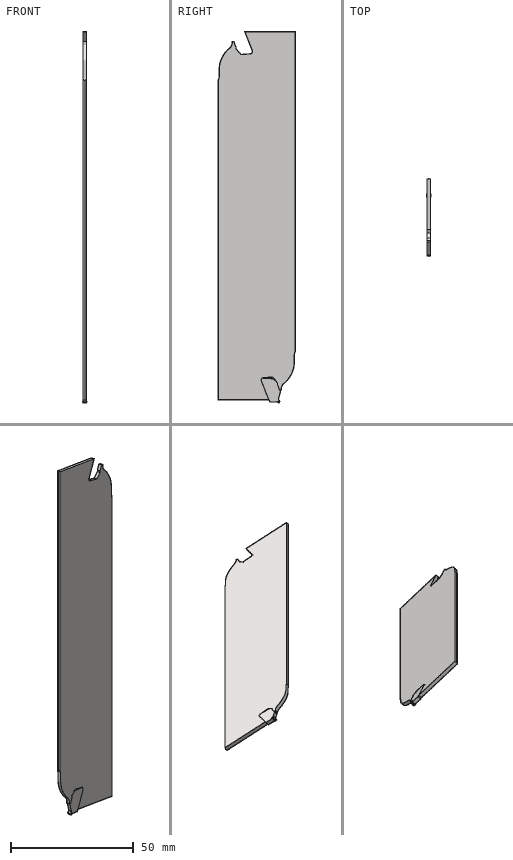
import cadquery as cq
import math

total_height = 151.0
insert_overhang = 1.4
blade_width = 31.5
blade_thickness = 1.5
ridge_angle = 15.0


seat_mouth = (10.9, 0.0)
seat_corner = (14.0, 8.0)
seat_floor_start = (13.6, 8.9)
seat_floor_end = (9.4, 9.2)

finger_root = (7.4, 7.0)
finger_bend = (7.4, 6.3)
finger_tip_inner = (6.5, 4.0)
finger_tip_outer = (5.7, 4.0)
finger_fillet_start = (5.7, 4.5)

shoulder_radius = 11.5
relief_depth = 0.5
relief_start = 15.5
relief_end = 18.3
ridge_start = 19.8

insert_top_corner = (8.9, 8.6)
front_heel = (6.0, 3.6)
front_waist = (7.0, 0.2)
front_lip = (6.3, -0.6)
cutting_tip = (6.8, -insert_overhang)
rake_start = (7.2, -0.9)
rake_end = (10.4, -0.9)

lip_width = 2.0
lip_bottom_front = (6.8, -0.9)
lip_bottom_back = (7.5, -0.9)
lip_top_back = (7.5, -0.6)

blade_length = total_height - insert_overhang
half_length = blade_length / 2
half_width = blade_width / 2
half_thickness = blade_thickness / 2
cut_margin = 1.5


def at_bottom(point):
    """Turn an (across, along) point into (Y, Z) at the blade's bottom +Y corner."""
    across, along = point
    return (half_width - across, along - half_length)


def plate(outline, thickness):
    """Extrude a closed YZ outline evenly to both sides of X = 0."""
    return outline.extrude(thickness / 2, both=True)


def polygon_plate(points, thickness):
    corners = [at_bottom(point) for point in points]
    return plate(cq.Workplane("YZ").polyline(corners).close(), thickness)


def shoulder_points():
    """End of the finger's fillet and middle of the shoulder arc.

    The fillet leaves the finger's side square to the blade's end and is tangent to the shoulder circle.
    """
    centre_across = relief_depth + shoulder_radius
    gap_across = centre_across - finger_fillet_start[0]
    gap_along = relief_start - finger_fillet_start[1]
    fillet_radius = (gap_across**2 + gap_along**2 - shoulder_radius**2) / (2 * (shoulder_radius - gap_across))
    start_angle = math.atan2(gap_along, gap_across + fillet_radius)

    def on_shoulder(angle):
        return (
            centre_across - shoulder_radius * math.cos(angle),
            relief_start - shoulder_radius * math.sin(angle),
        )

    return on_shoulder(start_angle), on_shoulder(start_angle / 2)


def end_cutter():
    """The material removed from the bottom end: insert seat, finger outline and shoulder."""
    shoulder_start, shoulder_middle = shoulder_points()
    outline = cq.Workplane("YZ").moveTo(*at_bottom(seat_mouth))
    for point in (seat_corner, seat_floor_start, seat_floor_end, finger_root, finger_bend,
                  finger_tip_inner, finger_tip_outer, finger_fillet_start):
        outline = outline.lineTo(*at_bottom(point))
    outline = (
        outline.tangentArcPoint(at_bottom(shoulder_start), relative=False)
        .threePointArc(at_bottom(shoulder_middle), at_bottom((relief_depth, relief_start)))
        .lineTo(*at_bottom((relief_depth, relief_end)))
        .tangentArcPoint(at_bottom((0, ridge_start)), relative=False)
        .lineTo(*at_bottom((-cut_margin, ridge_start)))
        .lineTo(*at_bottom((-cut_margin, -cut_margin)))
        .lineTo(*at_bottom((seat_mouth[0], -cut_margin)))
        .close()
    )
    return plate(outline, blade_thickness + 2 * cut_margin)


def make_blade():
    """Ridged bar with the same end cut at both ends, half a turn apart about X."""
    flank_y = half_width - half_thickness * math.tan(math.radians(ridge_angle))
    section = [
        (-half_thickness, -flank_y),
        (0, -half_width),
        (half_thickness, -flank_y),
        (half_thickness, flank_y),
        (0, half_width),
        (-half_thickness, flank_y),
    ]
    bar = cq.Workplane("XY").workplane(offset=-half_length).polyline(section).close().extrude(blade_length)
    for turn in (0, 180):
        bar = bar.cut(end_cutter().rotate((0, 0, 0), (1, 0, 0), turn))
    return bar.solids()


def make_insert():
    """Cutting insert in the bottom seat, as thick as the blade except at its wider lip."""
    body = polygon_plate(
        [seat_mouth, seat_corner, seat_floor_start, insert_top_corner, finger_root, finger_bend,
         finger_tip_inner, front_heel, front_waist, front_lip, cutting_tip, rake_start, rake_end],
        blade_thickness,
    )
    lip = polygon_plate([front_lip, lip_bottom_front, lip_bottom_back, lip_top_back], lip_width)
    return body.union(lip).solids()


blade = make_blade()
insert = make_insert()
result = cq.Compound.makeCompound([blade.val(), insert.val()])